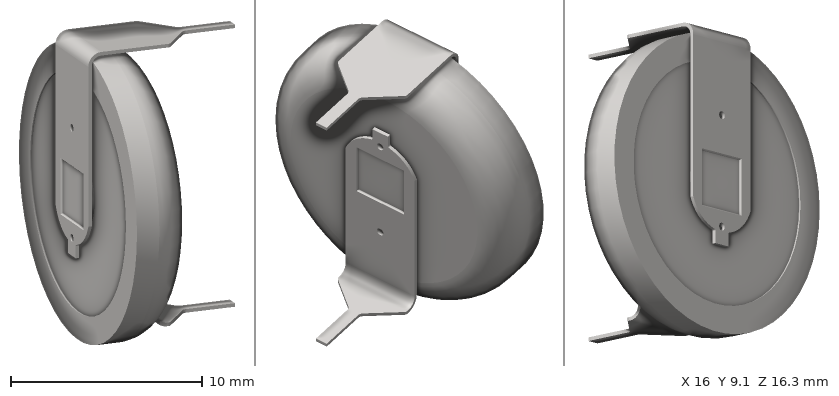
import cadquery as cq
import math


cell_radius = 8.0
cell_thickness = 3.21
rim_radius = 1.94
recess_radius = 6.5
recess_depth = 0.1

pad_radius = 2.0
pad_thickness = 0.15

tab_thickness = 0.2
tab_width = 4.47
bend_radius = 0.73
top_leg_z = 8.3
bottom_leg_z = -7.12
leg_end_y = 9.1

pin_width = 0.7
pin_start_y = 6.16
shoulder_y = 4.63
pin_fillet = 0.33
shoulder_fillet = 0.25

front_tip_z = -3.37
back_tip_z = 3.96
tongue_width = 1.01
tongue_fillet = 0.1
end_arc_radius = 2.4
end_arc_height = 3.08

hole_radius = 0.21
hole_heights = (0.98, 6.98)
pocket_height = 3.37
pocket_size = 3.08
pocket_taper = 0.08
pocket_depth = 0.1

cell_front_y = tab_thickness + pad_thickness
cell_back_y = cell_front_y + cell_thickness
back_tab_y = cell_back_y + pad_thickness


def disc(radius, start_y, thickness):
    """Round plate along Y, from start_y towards +Y."""
    return cq.Workplane("XZ", origin=(0, start_y, 0)).circle(radius).extrude(-thickness)


def make_cell():
    cell = disc(cell_radius, cell_front_y, cell_thickness).faces(">Y").edges().fillet(rim_radius)
    return cell.cut(disc(recess_radius, cell_front_y, recess_depth))


def bent_strip(length, reach):
    """L-shaped strip: upright from the origin to +Z, then bent over towards +Y."""
    strip = (
        cq.Workplane("YZ", origin=(-tab_width / 2, 0, 0))
        .polyline(
            [
                (0, 0),
                (0, length),
                (reach, length),
                (reach, length - tab_thickness),
                (tab_thickness, length - tab_thickness),
                (tab_thickness, 0),
            ]
        )
        .close()
        .extrude(tab_width)
    )
    strip = strip.edges(cq.NearestToPointSelector((0, 0, length))).fillet(bend_radius)
    inner_corner = (0, tab_thickness, length - tab_thickness)
    return strip.edges(cq.NearestToPointSelector(inner_corner)).fillet(bend_radius - tab_thickness)


def upright_outline(length):
    """Block with the front outline of the upright: a tongue, an arc at the free end and straight sides."""
    half_width = tab_width / 2
    half_tongue = tongue_width / 2
    arc_start = end_arc_height - math.sqrt(end_arc_radius**2 - half_width**2)
    tongue_root = end_arc_height - math.sqrt(end_arc_radius**2 - half_tongue**2)
    outline = (
        cq.Workplane("XZ")
        .moveTo(-half_tongue, 0)
        .lineTo(-half_tongue, tongue_root)
        .radiusArc((-half_width, arc_start), end_arc_radius)
        .lineTo(-half_width, length)
        .lineTo(half_width, length)
        .lineTo(half_width, arc_start)
        .radiusArc((half_tongue, tongue_root), end_arc_radius)
        .lineTo(half_tongue, 0)
        .close()
        .extrude(-leg_end_y)
    )
    for side in (-1, 1):
        root = (side * half_tongue, leg_end_y / 2, tongue_root)
        outline = outline.edges(cq.NearestToPointSelector(root)).fillet(tongue_fillet)
    return outline


def leg_outline(length, front_y):
    """Block with the plan outline of the leg: full width, then shoulders narrowing to the pin."""
    half_width = tab_width / 2
    half_pin = pin_width / 2
    shoulder = shoulder_y - front_y
    pin_start = pin_start_y - front_y
    pin_end = leg_end_y - front_y
    outline = (
        cq.Workplane("XY")
        .polyline(
            [
                (-half_width, 0),
                (-half_width, shoulder),
                (-half_pin, pin_start),
                (-half_pin, pin_end),
                (half_pin, pin_end),
                (half_pin, pin_start),
                (half_width, shoulder),
                (half_width, 0),
            ]
        )
        .close()
        .extrude(length)
    )
    for side in (-1, 1):
        for half_span, y, radius in (
            (half_width, shoulder, shoulder_fillet),
            (half_pin, pin_start, pin_fillet),
        ):
            corner = (side * half_span, y, length / 2)
            outline = outline.edges(cq.NearestToPointSelector(corner)).fillet(radius)
    return outline


def make_holes():
    """Two round holes through the upright."""
    centers = [(0, height) for height in hole_heights]
    return cq.Workplane("XZ").pushPoints(centers).circle(hole_radius).extrude(-tab_thickness)


def make_pocket(mouth_y, floor_y):
    """Square pocket that narrows from its mouth to its floor."""
    floor_size = pocket_size - 2 * pocket_taper
    return (
        cq.Workplane("XZ", origin=(0, mouth_y, pocket_height))
        .rect(pocket_size, pocket_size)
        .workplane(offset=mouth_y - floor_y)
        .rect(floor_size, floor_size)
        .loft()
    )


def make_tab(length, front_y):
    """Tab with its tongue tip at the origin and its leg on top; front_y is where it will be placed."""
    strip = bent_strip(length, leg_end_y - front_y)
    tab = strip.intersect(upright_outline(length)).intersect(leg_outline(length, front_y))
    return tab.cut(make_holes())


front_tab = (
    make_tab(top_leg_z - front_tip_z, 0)
    .cut(make_pocket(0, pocket_depth))
    .translate((0, 0, front_tip_z))
)
back_tab = (
    make_tab(back_tip_z - bottom_leg_z, back_tab_y)
    .cut(make_pocket(tab_thickness, tab_thickness - pocket_depth))
    .mirror("XY")
    .translate((0, back_tab_y, back_tip_z))
)
front_pad = disc(pad_radius, tab_thickness, pad_thickness + recess_depth)
back_pad = disc(pad_radius, cell_back_y, pad_thickness)

result = make_cell().union(front_pad).union(back_pad).union(front_tab).union(back_tab)